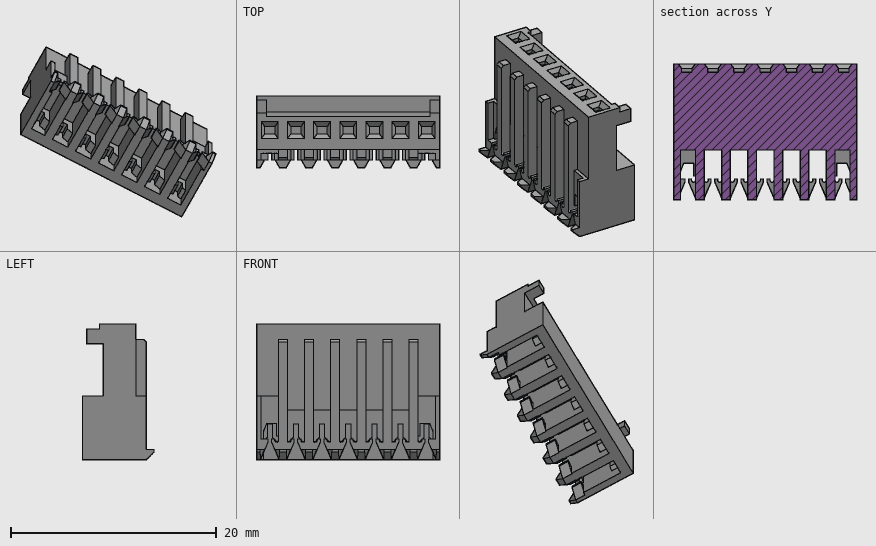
import cadquery as cq

positions = 7
pitch = 2.54
length = positions * pitch

front_face_y = 1.02
body_back_y = 4.21
base_back_y = 6.23
body_height = 13.21
base_height = 6.22

tab_width = 0.965
tab_bottom_z = 11.27
tab_top_z = 12.72
tab_back_y = 5.81
tab_root_y = 4.58
ramp_back_y = 4.69

rib_width = 0.86
rib_top_z = 11.70
rib_chamfer = 0.25

cavity_width = pitch - rib_width
cavity_top_z = 4.83
cavity_back_y = 4.2
back_slot_depth = 1.0
back_slot_width = 0.49
back_slot_top_z = 3.49
back_slot_neck_z = 2.20

end_wall = 0.425
end_pocket_depth = 0.66
end_opening_outer = 0.66
end_opening_corner = 0.97
end_opening_inner = 1.94
end_opening_top_z = 3.55
end_opening_shoulder_z = 2.74
end_opening_step_z = 2.30

ledge_z = 2.05
plate_depth = front_face_y
neck_width = 0.34
neck_bottom_z = 1.73
funnel_width = 1.81
relief_width = 0.37
relief_bottom_z = 1.73

hook_reach = 0.76
hook_top_z = 1.03
hook_tip_height = 0.25
hook_root_width = 1.50
hook_tip_width = 0.66

contact_mouth = 1.63
contact_mouth_center_y = 2.92
contact_hole_x = 1.0
contact_hole_y = 0.72
contact_hole_center_y = 2.89
contact_taper_depth = 0.43
contact_hole_depth = 0.38

position_xs = [(i - (positions - 1) / 2) * pitch for i in range(positions)]
rib_xs = [x + pitch / 2 for x in position_xs[:-1]]
end_x = length / 2


def block(x0, x1, y0, y1, z0, z1):
    """Axis-aligned box between two corners."""
    return cq.Workplane("XY").box(x1 - x0, y1 - y0, z1 - z0, centered=False).translate((x0, y0, z0))


def along_y(points, y0, y1):
    """Prism with an X-Z outline, running from y0 to y1."""
    return cq.Workplane("XZ", origin=(0, y0, 0)).polyline(points).close().extrude(y0 - y1)


def along_x(points, width, center_x=0):
    """Prism with a Y-Z outline, centred on center_x."""
    return cq.Workplane("YZ", origin=(center_x - width / 2, 0, 0)).polyline(points).close().extrude(width)


def mirrored(shape):
    """The shape together with its copy at the other end of the part."""
    return shape.union(shape.mirror("YZ"))


def make_body():
    base = block(-end_x, end_x, 0, base_back_y, 0, base_height)
    upper = block(-end_x, end_x, front_face_y, body_back_y, 0, body_height)
    return base.union(upper)


def make_tabs():
    outline = [
        (front_face_y, tab_bottom_z),
        (tab_back_y, tab_bottom_z),
        (tab_back_y, tab_top_z),
        (tab_root_y, tab_top_z),
        (tab_root_y, body_height),
        (front_face_y, body_height),
    ]
    return mirrored(along_x(outline, tab_width, end_x - tab_width / 2))


def make_ramp():
    """Locking ramp between the tabs, level with their underside."""
    outline = [
        (body_back_y, tab_bottom_z),
        (ramp_back_y, tab_bottom_z),
        (body_back_y, body_height),
    ]
    return along_x(outline, length - 2 * tab_width)


def make_rib(x):
    """Part of a rib that stands above the base."""
    outline = [
        (0, base_height),
        (front_face_y, base_height),
        (front_face_y, rib_top_z),
        (rib_chamfer, rib_top_z),
        (0, rib_top_z - rib_chamfer),
    ]
    return along_x(outline, rib_width, x)


def make_hook(x):
    """Tapered hook on the front face, clipped at the ends of the part."""
    root_top = hook_root_width / 2
    root_bottom = (pitch - funnel_width) / 2
    tip = hook_tip_width / 2
    tip_bottom_z = hook_top_z - hook_tip_height
    root_points = [
        (x - root_bottom, 0),
        (x + root_bottom, 0),
        (x + root_top, hook_top_z),
        (x - root_top, hook_top_z),
    ]
    tip_points = [
        (x - tip, tip_bottom_z),
        (x + tip, tip_bottom_z),
        (x + tip, hook_top_z),
        (x - tip, hook_top_z),
    ]
    hook = cq.Workplane("XZ").polyline(root_points).close()
    hook = hook.workplane(offset=hook_reach).polyline(tip_points).close().loft(ruled=True)
    return hook.intersect(block(-end_x, end_x, -hook_reach, 0, 0, hook_top_z))


def make_back_slot(x, left_x, right_x):
    """Slot behind the cavity, flaring at 45 degrees out to the cavity sides."""
    slot = back_slot_width / 2
    left_flare_z = back_slot_neck_z - (x - slot - left_x)
    right_flare_z = back_slot_neck_z - (right_x - x - slot)
    outline = [
        (left_x, 0),
        (right_x, 0),
        (right_x, right_flare_z),
        (x + slot, back_slot_neck_z),
        (x + slot, back_slot_top_z),
        (x - slot, back_slot_top_z),
        (x - slot, back_slot_neck_z),
        (left_x, left_flare_z),
    ]
    return along_y(outline, cavity_back_y, cavity_back_y + back_slot_depth)


def make_wire_entry(x):
    neck = neck_width / 2
    mouth = funnel_width / 2
    outline = [
        (x - mouth, 0),
        (x + mouth, 0),
        (x + neck, neck_bottom_z),
        (x + neck, ledge_z),
        (x - neck, ledge_z),
        (x - neck, neck_bottom_z),
    ]
    return along_y(outline, 0, plate_depth)


def make_relief(x, side):
    """Groove beside the rib on one side (-1 or +1) of position x."""
    radius = relief_width / 2
    center_x = x + side * (cavity_width / 2 - radius)
    straight_z = relief_bottom_z + radius
    outline = (
        cq.Workplane("XZ")
        .moveTo(center_x - radius, ledge_z)
        .lineTo(center_x - radius, straight_z)
        .threePointArc((center_x, relief_bottom_z), (center_x + radius, straight_z))
        .lineTo(center_x + radius, ledge_z)
        .close()
    )
    return outline.extrude(-plate_depth)


def make_middle_cavity(x):
    half = cavity_width / 2
    front = block(x - half, x + half, 0, plate_depth, ledge_z, base_height)
    rear = block(x - half, x + half, plate_depth, cavity_back_y, 0, cavity_top_z)
    cavity = front.union(rear)
    cavity = cavity.union(make_relief(x, -1)).union(make_relief(x, 1))
    return cavity.union(make_back_slot(x, x - half, x + half))


def make_left_cavity():
    """Shallow front pocket with a smaller opening through to the cavity behind it."""
    x = position_xs[0]
    inner_x = x + cavity_width / 2
    pocket = block(-end_x + end_wall, inner_x, 0, end_pocket_depth, ledge_z, base_height)
    outer_x = -end_x + end_opening_outer
    upper_inner_x = -end_x + end_opening_inner
    opening = [
        (outer_x, ledge_z),
        (inner_x, ledge_z),
        (inner_x, end_opening_step_z),
        (upper_inner_x, end_opening_step_z),
        (upper_inner_x, end_opening_top_z),
        (-end_x + end_opening_corner, end_opening_top_z),
        (outer_x, end_opening_shoulder_z),
    ]
    front = along_y(opening, 0, plate_depth)
    rear = block(outer_x, inner_x, plate_depth, cavity_back_y, 0, cavity_top_z)
    cavity = pocket.union(front).union(rear).union(make_relief(x, 1))
    return cavity.union(make_back_slot(x, outer_x, inner_x))


def make_contact_pocket(x):
    """Tapered mouth in the top face leading to a short rectangular hole."""
    mouth = cq.Workplane("XY", origin=(x, contact_mouth_center_y, body_height))
    mouth = mouth.rect(contact_mouth, contact_mouth)
    hole_shift = contact_hole_center_y - contact_mouth_center_y
    taper = mouth.workplane(offset=-contact_taper_depth).center(0, hole_shift)
    taper = taper.rect(contact_hole_x, contact_hole_y).loft(ruled=True)
    taper_bottom_z = body_height - contact_taper_depth
    hole = block(
        x - contact_hole_x / 2,
        x + contact_hole_x / 2,
        contact_hole_center_y - contact_hole_y / 2,
        contact_hole_center_y + contact_hole_y / 2,
        taper_bottom_z - contact_hole_depth,
        taper_bottom_z,
    )
    return taper.union(hole)


result = make_body().union(make_tabs()).union(make_ramp())

result = result.cut(mirrored(make_left_cavity()))
for x in position_xs[1:-1]:
    result = result.cut(make_middle_cavity(x))

for x in position_xs:
    result = result.cut(make_wire_entry(x))
    result = result.cut(make_contact_pocket(x))

for x in rib_xs:
    result = result.union(make_rib(x))

for x in [-end_x] + rib_xs + [end_x]:
    result = result.union(make_hook(x))